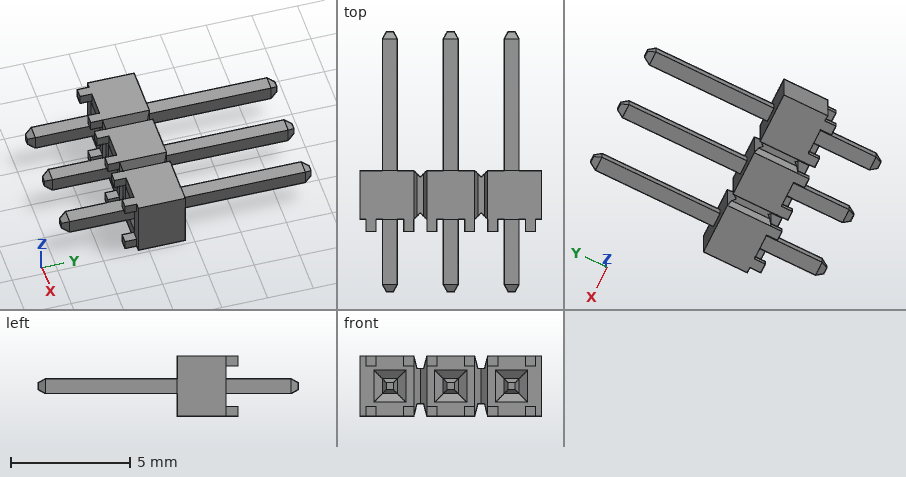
import cadquery as cq

pin_count = 3
pitch = 2.55
row_length = 7.62
housing_height = 2.54
housing_depth = 2.05

notch_width = 0.55
web_width = notch_width / 2
web_height = 1.49
groove_depth = notch_width / 2

foot_width = 0.43
foot_height = 0.43
foot_length = 0.51

pin_length = 10.92
pin_width = 0.63
pin_front_reach = 3.04
tip_width = 0.3
tip_length = 0.31

pocket_width = 1.34
pocket_depth = 0.25

block_width = pitch - notch_width
pin_centres = [(i - (pin_count - 1) / 2) * pitch for i in range(pin_count)]
notch_centres = [x + pitch / 2 for x in pin_centres[:-1]]


def square_taper(x, y_start, width_start, y_end, width_end):
    """Square frustum along Y, centred on the pin at x."""
    start_plane = cq.Plane(origin=(x, y_start, 0), xDir=(1, 0, 0), normal=(0, 1, 0))
    return (
        cq.Workplane(start_plane)
        .rect(width_start, width_start)
        .workplane(offset=y_end - y_start)
        .rect(width_end, width_end)
        .loft(ruled=True)
    )


def make_pin(x):
    front = -pin_front_reach
    back = front + pin_length
    shaft_front = front + tip_length
    shaft_back = back - tip_length
    shaft = cq.Workplane("XY").box(pin_width, shaft_back - shaft_front, pin_width)
    shaft = shaft.translate((x, (shaft_front + shaft_back) / 2, 0))
    front_tip = square_taper(x, front, tip_width, shaft_front, pin_width)
    back_tip = square_taper(x, shaft_back, pin_width, back, tip_width)
    return shaft.union(front_tip).union(back_tip)


def make_edge_notch(x, side):
    """Trapezoidal notch through the depth; side is 1 for the top, -1 for the bottom."""
    outer_z = side * housing_height / 2
    web_z = side * web_height / 2
    outline = [
        (x - notch_width / 2, outer_z),
        (x - web_width / 2, web_z),
        (x + web_width / 2, web_z),
        (x + notch_width / 2, outer_z),
    ]
    return cq.Workplane("XZ").polyline(outline).close().extrude(-housing_depth)


def make_face_groove(x, face_y, inward):
    """V-groove over the full height; inward is the Y direction into the housing."""
    outline = [
        (x - notch_width / 2, face_y),
        (x, face_y + inward * groove_depth),
        (x + notch_width / 2, face_y),
    ]
    return (
        cq.Workplane("XY").polyline(outline).close().extrude(housing_height / 2, both=True)
    )


def make_feet(x):
    """Four feet at the corners of one block, flush with its top and bottom."""
    return (
        cq.Workplane("XZ", origin=(x, 0, 0))
        .rect(block_width - foot_width, housing_height - foot_height, forConstruction=True)
        .vertices()
        .rect(foot_width, foot_height)
        .extrude(foot_length)
    )


result = cq.Workplane("XY").box(row_length, housing_depth, housing_height)
result = result.translate((0, housing_depth / 2, 0))

for x in notch_centres:
    for side in (1, -1):
        result = result.cut(make_edge_notch(x, side))
    result = result.cut(make_face_groove(x, 0, 1))
    result = result.cut(make_face_groove(x, housing_depth, -1))

for x in pin_centres:
    result = result.cut(square_taper(x, 0, pocket_width, pocket_depth, pin_width))
    result = result.union(make_feet(x))
    result = result.union(make_pin(x))